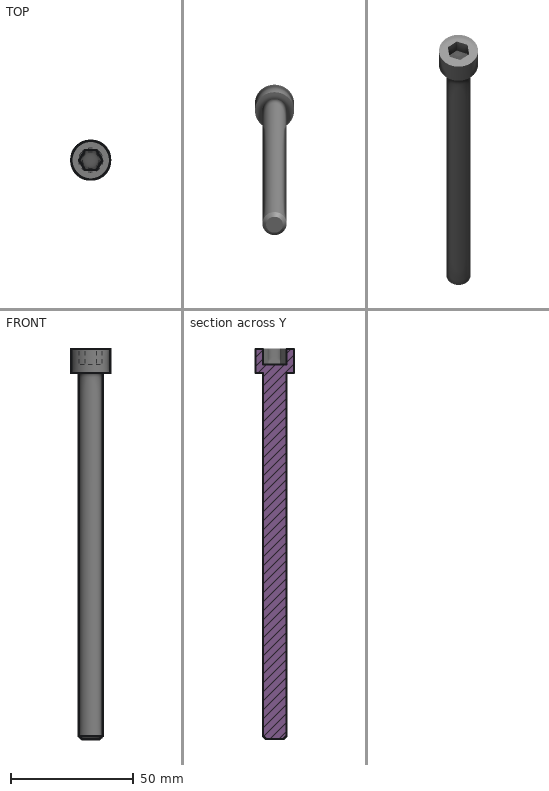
import cadquery as cq
import math

total_length = 160.0
head_diameter = 16.0
head_height = 10.0
shank_diameter = 10.0
tip_chamfer = 1.52
socket_across_flats = 8.2
socket_depth = 6.4

shank_length = total_length - head_height
socket_across_corners = socket_across_flats / math.cos(math.pi / 6)


def make_shank():
    """Plain cylindrical shank with a chamfered tip."""
    shank = cq.Workplane("XY").circle(shank_diameter / 2).extrude(shank_length)
    return shank.faces("<Z").chamfer(tip_chamfer)


def make_head():
    """Cylindrical head resting on top of the shank."""
    head_plane = cq.Workplane("XY").workplane(offset=shank_length)
    return head_plane.circle(head_diameter / 2).extrude(head_height)


def make_socket():
    """Blind hexagonal socket with two corners on the X axis."""
    socket_plane = cq.Workplane("XY").workplane(offset=total_length)
    return socket_plane.polygon(6, socket_across_corners).extrude(-socket_depth)


result = make_shank().union(make_head()).cut(make_socket())